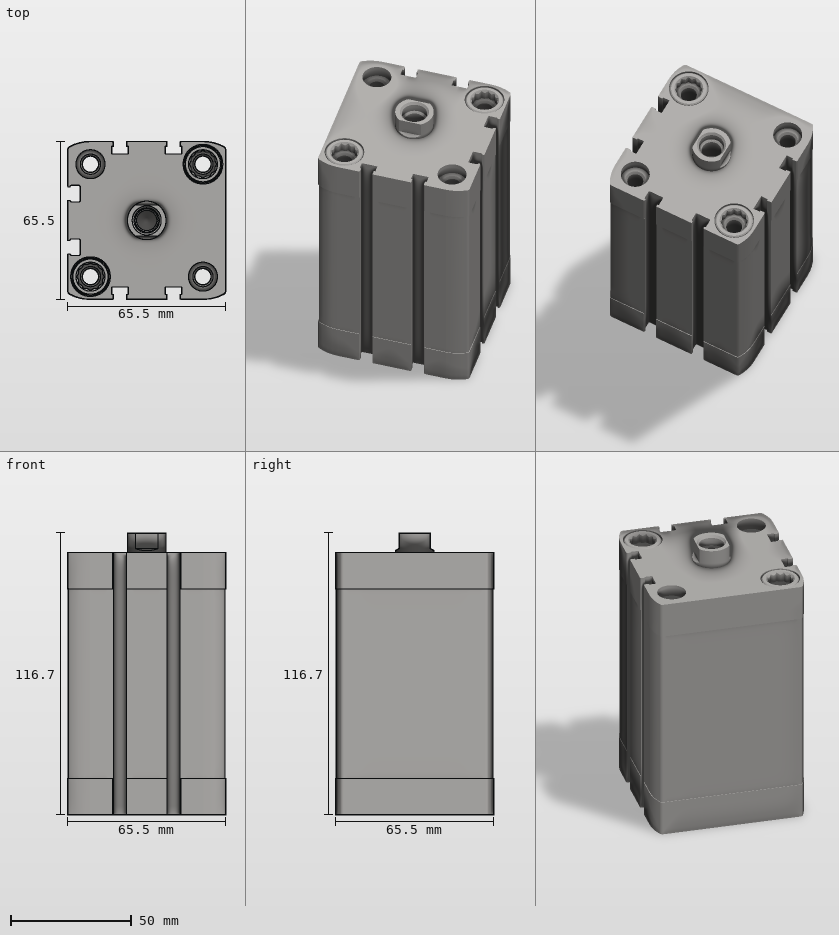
import cadquery as cq
import math

total_height = 116.7
rod_projection = 8.0
housing_height = total_height - rod_projection
cap_width = 65.5
cap_height = 15.0
tube_step = 0.2
tube_width = cap_width - 2 * tube_step

corner_start = 23.5
corner_radius = 18.0
edge_radius = 1.4

slot_offset = 11.1
slot_mouth = 5.5
slot_width = 6.8
slot_depth = 5.1
front_lip = 2.1
side_lip = 1.0
side_slot_rounding = 0.5
mouth_chamfer = 0.4

hole_spacing = 46.6
through_diameter = 6.7
countersink_diameter = 8.4
counterbore_diameter = 12.0
counterbore_depth = 4.9

head_clearance_diameter = 16.5
head_diameter = 15.5
head_face_diameter = 14.6
head_gap_depth = 1.2
socket_depth = 4.4
socket_point_diameter = 11.4
socket_lead_in_diameter = 12.0
socket_lead_in_bottom = 10.2
socket_lead_in_depth = 1.3

rod_diameter = 16.0
rod_seat_depth = cap_height
flat_spacing = 13.0
flat_slope_angle = 30.0
flat_height = 6.4
rod_counterbore_diameter = 10.5
rod_counterbore_depth = 4.4
rod_mouth_diameter = 12.0
rod_mouth_depth = 1.0
thread_mouth_diameter = 9.6
thread_diameter = 8.4
thread_depth = 16.3
drill_point_angle = 118.0


def cone_at(x, y, z, bottom_diameter, top_diameter, height):
    """Upright cone frustum standing on height z."""
    return cq.Workplane(cq.Solid.makeCone(
        bottom_diameter / 2, top_diameter / 2, height, cq.Vector(x, y, z)))


def cylinder_at(x, y, bottom, top, diameter):
    return cq.Workplane("XY", origin=(x, y, bottom)).circle(diameter / 2).extrude(top - bottom)


def outline_block(width, bottom, top):
    """Housing outline: flat faces joined by shallow corner arcs with a small edge blend."""
    half = width / 2
    centre_y = half - corner_radius
    reach = half - corner_start
    arc_end_y = centre_y + math.sqrt(corner_radius**2 - reach**2)
    half_sweep = math.asin(reach / corner_radius) / 2
    mid_x = corner_start + corner_radius * math.sin(half_sweep)
    mid_y = centre_y + corner_radius * math.cos(half_sweep)
    block = (
        cq.Workplane("XY", origin=(0, 0, bottom))
        .moveTo(-corner_start, half)
        .lineTo(corner_start, half)
        .threePointArc((mid_x, mid_y), (half, arc_end_y))
        .lineTo(half, -arc_end_y)
        .threePointArc((mid_x, -mid_y), (corner_start, -half))
        .lineTo(-corner_start, -half)
        .threePointArc((-mid_x, -mid_y), (-half, -arc_end_y))
        .lineTo(-half, arc_end_y)
        .threePointArc((-mid_x, mid_y), (-corner_start, half))
        .close()
        .extrude(top - bottom)
    )
    sharp_edges = []
    for edge in block.edges("|Z").vals():
        centre = edge.Center()
        if math.isclose(abs(centre.x), half) and math.isclose(abs(centre.y), arc_end_y):
            sharp_edges.append(edge)
    return block.newObject(sharp_edges).fillet(edge_radius)


def slot_pair(lip, rounding):
    """Two T-slots in the +Y face, mirrored about X = 0."""
    face = cap_width / 2
    floor = face - slot_depth
    channel = (
        cq.Workplane("XY")
        .center(slot_offset, floor + (slot_depth - lip) / 2)
        .rect(slot_width, slot_depth - lip)
        .extrude(housing_height)
    )
    if rounding:
        channel = channel.edges("|Z").fillet(rounding)
    mouth = (
        cq.Workplane("XY")
        .center(slot_offset, face - slot_depth / 2)
        .rect(slot_mouth, slot_depth)
        .extrude(housing_height)
    )
    slot = channel.union(mouth)
    outer_edge = slot_offset + slot_mouth / 2
    for bottom in (0, housing_height - cap_height):
        bevel = (
            cq.Workplane("XY", origin=(0, 0, bottom))
            .polyline([(outer_edge, face - mouth_chamfer),
                       (outer_edge + mouth_chamfer, face),
                       (outer_edge, face)])
            .close()
            .extrude(cap_height)
        )
        slot = slot.union(bevel)
    return slot.union(slot.mirror("YZ"))


def mounting_hole(x, y, floor):
    """Through hole with a countersink below the recess floor."""
    sink_depth = (countersink_diameter - through_diameter) / 2
    sink = cone_at(x, y, floor - sink_depth, through_diameter, countersink_diameter, sink_depth)
    return cylinder_at(x, y, 0, floor, through_diameter).union(sink)


def counterbore(x, y):
    return cylinder_at(x, y, housing_height - counterbore_depth, housing_height, counterbore_diameter)


def twelve_point_socket(x, y):
    """Two hexagons turned by 30 degrees, with a conical lead-in."""
    floor = housing_height - socket_depth
    hexagon = (
        cq.Workplane("XY", origin=(x, y, floor))
        .polygon(6, socket_point_diameter)
        .extrude(socket_depth)
    )
    turned = hexagon.rotate((x, y, 0), (x, y, 1), 30)
    lead_in = cone_at(x, y, housing_height - socket_lead_in_depth,
                      socket_lead_in_bottom, socket_lead_in_diameter, socket_lead_in_depth)
    return hexagon.union(turned).union(lead_in)


def head_gap(x, y):
    """Narrow ring around a screw head whose top edge is bevelled."""
    bottom = housing_height - head_gap_depth
    bevel = (head_diameter - head_face_diameter) / 2
    head = cylinder_at(x, y, bottom, housing_height - bevel, head_diameter)
    head = head.union(cone_at(x, y, housing_height - bevel, head_diameter, head_face_diameter, bevel))
    return cylinder_at(x, y, bottom, housing_height, head_clearance_diameter).cut(head)


def make_housing():
    upper_cap_bottom = housing_height - cap_height
    body = outline_block(tube_width, cap_height, upper_cap_bottom)
    body = body.union(outline_block(cap_width, 0, cap_height))
    body = body.union(outline_block(cap_width, upper_cap_bottom, housing_height))

    front_slots = slot_pair(front_lip, 0)
    side_slots = slot_pair(side_lip, side_slot_rounding)
    body = body.cut(front_slots)
    body = body.cut(front_slots.mirror("XZ"))
    body = body.cut(side_slots.rotate((0, 0, 0), (0, 0, 1), 90))

    for side_x in (-1, 1):
        for side_y in (-1, 1):
            x = side_x * hole_spacing / 2
            y = side_y * hole_spacing / 2
            if side_x == side_y:
                body = body.cut(mounting_hole(x, y, housing_height - socket_depth))
                body = body.cut(twelve_point_socket(x, y))
                body = body.cut(head_gap(x, y))
            else:
                body = body.cut(mounting_hole(x, y, housing_height - counterbore_depth))
                body = body.cut(counterbore(x, y))

    seat = cylinder_at(0, 0, housing_height - rod_seat_depth, housing_height, rod_diameter)
    return body.cut(seat)


def rod_flats():
    """Two wrench flats, each ending in a slope at its lower end."""
    flat = flat_spacing / 2
    edge = rod_diameter / 2
    drop = (edge - flat) * math.tan(math.radians(flat_slope_angle))
    shoulder = total_height - flat_height
    cutter = (
        cq.Workplane("YZ")
        .polyline([(flat, total_height), (flat, shoulder),
                   (edge, shoulder - drop), (edge, total_height)])
        .close()
        .extrude(edge, both=True)
    )
    return cutter.union(cutter.mirror("XZ"))


def rod_bore():
    """Stepped threaded hole with bevelled mouths and a drill point."""
    step = total_height - rod_counterbore_depth
    thread_bottom = total_height - thread_depth
    thread_bevel = (thread_mouth_diameter - thread_diameter) / 2
    point_height = thread_diameter / 2 / math.tan(math.radians(drill_point_angle / 2))
    bore = cylinder_at(0, 0, step, total_height, rod_counterbore_diameter)
    bore = bore.union(cylinder_at(0, 0, thread_bottom, step, thread_diameter))
    bore = bore.union(cone_at(0, 0, total_height - rod_mouth_depth,
                              rod_counterbore_diameter, rod_mouth_diameter, rod_mouth_depth))
    bore = bore.union(cone_at(0, 0, step - thread_bevel,
                              thread_diameter, thread_mouth_diameter, thread_bevel))
    return bore.union(cone_at(0, 0, thread_bottom - point_height, 0, thread_diameter, point_height))


def make_rod():
    rod = cylinder_at(0, 0, housing_height - rod_seat_depth, total_height, rod_diameter)
    return rod.cut(rod_flats()).cut(rod_bore())


housing = make_housing()
piston_rod = make_rod()

result = cq.Compound.makeCompound([housing.val(), piston_rod.val()])